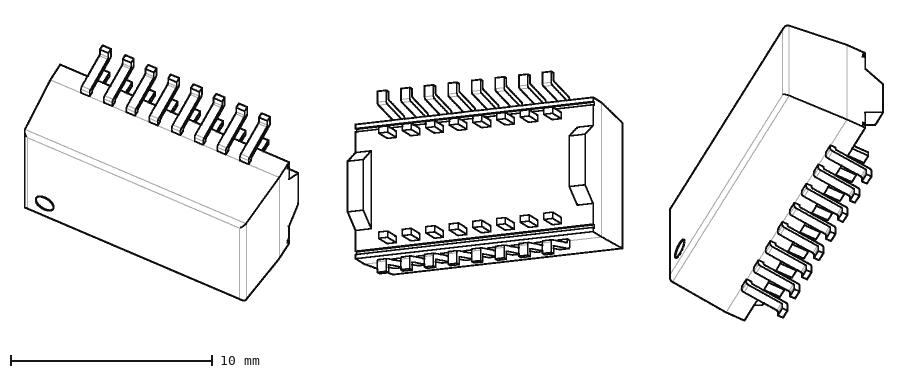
import math

import cadquery as cq

BODY_LENGTH = 12.8
BODY_HEIGHT = 6.9
CAP_DEPTH = 3.35
CAP_DRAFT = 4.0
CAP_FILLET = 0.25
BASE_DEPTH = 1.05

MARK_DIAMETER = 1.0
MARK_DEPTH = 0.05
MARK_X = -4.97
MARK_Z = -2.02

STANDOFF_WIDTH = 0.85
STANDOFF_REACH = 2.05
STANDOFF_ROOT_HEIGHT = 4.0
STANDOFF_TIP_HEIGHT = 2.6

GROOVE_DEPTH = 0.14
GROOVE_WIDTH = 0.17
GROOVE_Z = 3.15

LEADS_PER_ROW = 8
LEAD_PITCH = 1.27
LEAD_WIDTH = 0.48
LEAD_THICKNESS = 0.29
LEAD_SLOPE = 10.0
LEAD_REACH = 2.3
LEAD_TIP_Z = 4.65
LEAD_SHOULDER_Z = 3.88
LEAD_EMBED = 0.3
BEND_INNER_RADIUS = 0.08
BEND_OUTER_RADIUS = 0.13

POST_REACH = 2.13
POST_THICKNESS = 0.32
POST_Z = 2.7

LEAD_XS = [(i - (LEADS_PER_ROW - 1) / 2) * LEAD_PITCH for i in range(LEADS_PER_ROW)]


def box_between(x_center, width, y_start, y_end, z_center, height):
    """Box centred in X and Z that spans y_start to y_end."""
    return cq.Workplane("XY").box(width, y_end - y_start, height).translate(
        (x_center, (y_start + y_end) / 2, z_center)
    )


def make_cap():
    """Drafted cap with a rounded front rim and the pin 1 mark."""
    cap = cq.Workplane("XZ").rect(BODY_LENGTH, BODY_HEIGHT).extrude(CAP_DEPTH, taper=CAP_DRAFT)
    cap = cap.faces("<Y").edges().fillet(CAP_FILLET)
    mark = (
        cq.Workplane("XZ", origin=(MARK_X, -CAP_DEPTH + MARK_DEPTH, MARK_Z))
        .circle(MARK_DIAMETER / 2)
        .extrude(MARK_DEPTH)
    )
    return cap.cut(mark)


def make_base():
    """Straight base plate with a groove along each long edge."""
    base = box_between(0, BODY_LENGTH, 0, BASE_DEPTH, 0, BODY_HEIGHT)
    for side in (1, -1):
        groove = box_between(
            0, BODY_LENGTH, BASE_DEPTH - GROOVE_DEPTH, BASE_DEPTH, side * GROOVE_Z, GROOVE_WIDTH
        )
        base = base.cut(groove)
    return base


def make_standoff(x_center):
    """Trapezoidal standoff on the back of the base."""
    return (
        cq.Workplane("YZ", origin=(x_center, 0, 0))
        .moveTo(BASE_DEPTH, -STANDOFF_ROOT_HEIGHT / 2)
        .lineTo(STANDOFF_REACH, -STANDOFF_TIP_HEIGHT / 2)
        .lineTo(STANDOFF_REACH, STANDOFF_TIP_HEIGHT / 2)
        .lineTo(BASE_DEPTH, STANDOFF_ROOT_HEIGHT / 2)
        .close()
        .extrude(STANDOFF_WIDTH / 2, both=True)
    )


def make_lead():
    """Upper lead at X = 0: shoulder out of the body, sloped arm, then the foot."""
    slope = math.radians(LEAD_SLOPE)
    arm_drop = LEAD_THICKNESS / math.cos(slope)
    foot_front_y = LEAD_REACH - LEAD_THICKNESS
    root_z = BODY_HEIGHT / 2 - LEAD_EMBED

    def arm_top(y):
        return LEAD_SHOULDER_Z + y * math.tan(slope)

    def arm_bottom(y):
        return arm_top(y) - arm_drop

    lead = (
        cq.Workplane("YZ")
        .moveTo(0, root_z)
        .lineTo(0, arm_top(0))
        .lineTo(foot_front_y, arm_top(foot_front_y))
        .lineTo(foot_front_y, LEAD_TIP_Z)
        .lineTo(LEAD_REACH, LEAD_TIP_Z)
        .lineTo(LEAD_REACH, arm_bottom(LEAD_REACH))
        .lineTo(LEAD_THICKNESS, arm_bottom(LEAD_THICKNESS))
        .lineTo(LEAD_THICKNESS, root_z)
        .close()
        .extrude(LEAD_WIDTH / 2, both=True)
    )

    def bend_edge(y, z):
        return cq.selectors.NearestToPointSelector((0, y, z))

    lead = lead.edges(bend_edge(0, arm_top(0))).fillet(BEND_OUTER_RADIUS)
    lead = lead.edges(bend_edge(LEAD_REACH, arm_bottom(LEAD_REACH))).fillet(BEND_OUTER_RADIUS)
    lead = lead.edges(bend_edge(foot_front_y, arm_top(foot_front_y))).fillet(BEND_INNER_RADIUS)
    return lead.edges(bend_edge(LEAD_THICKNESS, arm_bottom(LEAD_THICKNESS))).fillet(BEND_INNER_RADIUS)


def add_terminals(body):
    """Add a lead and a straight post at every position of both rows."""
    upper_lead = make_lead()
    rows = ((1, upper_lead), (-1, upper_lead.mirror("XY")))
    for side, lead in rows:
        for x in LEAD_XS:
            post = box_between(x, LEAD_WIDTH, 0, POST_REACH, side * POST_Z, POST_THICKNESS)
            body = body.union(lead.translate((x, 0, 0))).union(post)
    return body


standoff_x = (BODY_LENGTH - STANDOFF_WIDTH) / 2
result = make_cap().union(make_base())
result = result.union(make_standoff(-standoff_x)).union(make_standoff(standoff_x))
result = add_terminals(result)